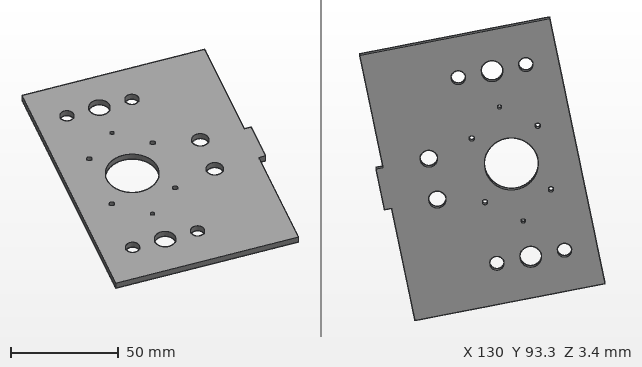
import cadquery as cq

plate_width = 130.0
total_depth = 93.3
thickness = 3.4
tab_width = 20.0
tab_depth = 3.4
plate_depth = total_depth - tab_depth

center_x = plate_width / 2
bore_y = 31.2
bore_diameter = 25.0

corner_hole_diameter = 2.5
corner_hole_offset = 15.6
pin_hole_diameter = 2.0
pin_hole_offset = 28.0

side_hole_offset = 45.5
side_large_diameter = 10.0
side_small_diameter = 6.6
side_small_spacing = 16.0

upper_hole_diameter = 8.0
upper_hole_offset = tab_width / 2
upper_hole_y = 68.2


def drill(body, diameter, offsets):
    """Cut through holes at offsets measured from the bore center."""
    cutters = (
        cq.Workplane("XY")
        .center(center_x, bore_y)
        .pushPoints(offsets)
        .circle(diameter / 2)
        .extrude(thickness)
    )
    return body.cut(cutters)


def mirrored_pair(x, y):
    """Return two offsets mirrored about the plate's line of symmetry."""
    return [(-x, y), (x, y)]


def mirrored_square(x, y):
    """Return four offsets mirrored about both axes through the bore."""
    return mirrored_pair(x, -y) + mirrored_pair(x, y)


plate = cq.Workplane("XY").box(plate_width, plate_depth, thickness, centered=False)
tab = (
    cq.Workplane("XY")
    .box(tab_width, total_depth, thickness, centered=False)
    .translate((center_x - tab_width / 2, 0, 0))
)
result = plate.union(tab, clean=True)

result = drill(result, bore_diameter, [(0, 0)])
result = drill(result, corner_hole_diameter, mirrored_square(corner_hole_offset, corner_hole_offset))
result = drill(result, pin_hole_diameter, mirrored_pair(pin_hole_offset, 0))
result = drill(result, side_large_diameter, mirrored_pair(side_hole_offset, 0))
result = drill(result, side_small_diameter, mirrored_square(side_hole_offset, side_small_spacing))
result = drill(result, upper_hole_diameter, mirrored_pair(upper_hole_offset, upper_hole_y - bore_y))